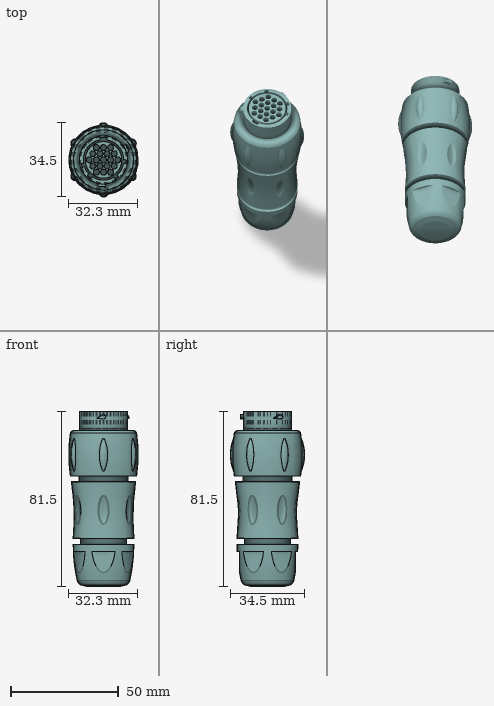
import math

import cadquery as cq

nut_corner_end_z = 0.75
nut_fillet_top_z = 2.7
flat_top_z = 16.25
nut_top_z = 19.6
sleeve_bottom_z = 22.4
sleeve_waist_z = 33.0
sleeve_band_bottom_z = 48.3
sleeve_top_z = 48.8
collar_bottom_z = 51.3
collar_shoulder_z = 71.4
collar_top_z = 72.55
total_height = 81.48

nut_bottom_radius = 7.5
nut_corner_radius = 10.65
nut_fillet_radius = 12.2
nut_radius = 14.15
nut_corner_bulge = 0.3
lower_neck_radius = 10.75
sleeve_bottom_radius = 14.15
sleeve_waist_radius = 13.72
sleeve_top_radius = 14.9
upper_neck_radius = 11.4
collar_end_radius = 15.4
collar_mid_radius = 16.15
collar_top_radius = 14.0
collar_shoulder_bulge = 0.2
plug_radius = 11.2

grip_count = 6
grip_angles = [90 + i * 360 / grip_count for i in range(grip_count)]

flat_distance = 13.0

rib_mid_z = 61.25
rib_axis_radius = 15.1
rib_crest_radius = 17.25
rib_half_length = 9.0

dimple_mid_z = 35.1
dimple_axis_radius = 16.45
dimple_floor_radius = 12.75
dimple_half_length = 11.2
dimple_edge_fillet = 0.55
rim_search_size = 3.0

groove_outer_radius = 9.4
groove_inner_radius = 8.5
groove_depth = 8.0
keyway_outer_radius = 10.45
keyways = [(90, 3.3), (-4.5, 1.7), (194.7, 1.75), (229.7, 2.0), (306.4, 2.0)]

contact_hole_diameter = 2.75
contact_hole_depth = 8.0
contact_pitch = 3.31
contact_rows = [3, 4, 5, 4, 3]

peg_angles = [-90, 30]
peg_z = 78.95
peg_round_radius = 1.03
peg_tip_reach = 3.1
peg_tip_drop = 0.8
peg_outer_radius = 12.45
peg_embed_depth = 1.0
peg_root_radius = plug_radius - peg_embed_depth
peg_bevel_width = 1.05
peg_bevel_height = 1.4


def tangent_arc_midpoint(start_radius, start_z, end_radius, end_z):
    """Midpoint of the arc that leaves the start point parallel to Z and ends at the end point."""
    drop = start_radius - end_radius
    run = start_z - end_z
    arc_radius = (drop**2 + run**2) / (2 * drop)
    half_angle = math.asin(run / arc_radius) / 2
    return (
        start_radius - arc_radius * (1 - math.cos(half_angle)),
        start_z - arc_radius * math.sin(half_angle),
    )


def turned_body():
    """Nut, sleeve, collar and plug as one revolved profile."""
    corner_mid = (
        (nut_corner_radius + nut_fillet_radius) / 2 + nut_corner_bulge / 2,
        (nut_corner_end_z + nut_fillet_top_z) / 2 - nut_corner_bulge / 2,
    )
    nut_side_mid = tangent_arc_midpoint(nut_radius, nut_top_z, nut_fillet_radius, nut_fillet_top_z)
    collar_mid_z = (collar_bottom_z + collar_shoulder_z) / 2
    shoulder_mid = (
        (collar_end_radius + collar_top_radius + collar_shoulder_bulge) / 2,
        (collar_shoulder_z + collar_top_z + collar_shoulder_bulge) / 2,
    )
    profile = (
        cq.Workplane("XZ")
        .moveTo(0, 0)
        .lineTo(nut_bottom_radius, 0)
        .lineTo(nut_corner_radius, nut_corner_end_z)
        .threePointArc(corner_mid, (nut_fillet_radius, nut_fillet_top_z))
        .threePointArc(nut_side_mid, (nut_radius, nut_top_z))
        .lineTo(lower_neck_radius, nut_top_z)
        .lineTo(lower_neck_radius, sleeve_bottom_z)
        .lineTo(sleeve_bottom_radius, sleeve_bottom_z)
        .threePointArc((sleeve_waist_radius, sleeve_waist_z), (sleeve_top_radius, sleeve_band_bottom_z))
        .lineTo(sleeve_top_radius, sleeve_top_z)
        .lineTo(upper_neck_radius, sleeve_top_z)
        .lineTo(upper_neck_radius, collar_bottom_z)
        .lineTo(collar_end_radius, collar_bottom_z)
        .threePointArc((collar_mid_radius, collar_mid_z), (collar_end_radius, collar_shoulder_z))
        .threePointArc(shoulder_mid, (collar_top_radius, collar_top_z))
        .lineTo(plug_radius, collar_top_z)
        .lineTo(plug_radius, total_height)
        .lineTo(0, total_height)
        .close()
    )
    return profile.revolve(360, (0, 0, 0), (0, 1, 0))


def spindle(axis_radius, mid_z, mid_radius, half_length, angle):
    """Pointed spindle parallel to Z, standing at the given angle around the connector."""
    shape = (
        cq.Workplane("XZ")
        .moveTo(0, -half_length)
        .threePointArc((mid_radius, 0), (0, half_length))
        .close()
        .revolve(360, (0, 0, 0), (0, 1, 0))
    )
    return shape.translate((axis_radius, 0, mid_z)).rotate((0, 0, 0), (0, 0, 1), angle)


def cut_dimples(body):
    """Scoop the finger dimples and round their rims."""
    mid_radius = dimple_axis_radius - dimple_floor_radius
    for angle in grip_angles:
        cutter = spindle(dimple_axis_radius, dimple_mid_z, mid_radius, dimple_half_length, angle)
        direction = math.radians(angle)
        rim_center = cq.Vector(
            sleeve_waist_radius * math.cos(direction),
            sleeve_waist_radius * math.sin(direction),
            dimple_mid_z,
        )
        reach = cq.Vector(1, 1, 1) * (rim_search_size / 2)
        rim_zone = cq.selectors.BoxSelector((rim_center - reach).toTuple(), (rim_center + reach).toTuple())
        body = body.cut(cutter).edges(rim_zone).fillet(dimple_edge_fillet)
    return body


def add_ribs(body):
    """Raised spindle-shaped grip ribs on the collar."""
    mid_radius = rib_crest_radius - rib_axis_radius
    for angle in grip_angles:
        body = body.union(spindle(rib_axis_radius, rib_mid_z, mid_radius, rib_half_length, angle))
    return body


def cut_flats(body):
    """Wrench flats, parallel to Z, from the cable end up to a ledge under the nut's rim."""
    for angle in grip_angles:
        cutter = cq.Workplane("XY").box(
            nut_radius, 2 * nut_radius, flat_top_z, centered=(False, True, False)
        )
        cutter = cutter.translate((flat_distance, 0, 0))
        body = body.cut(cutter.rotate((0, 0, 0), (0, 0, 1), angle))
    return body


def cut_mating_face(body):
    """Annular groove with keyways around the contact insert, and the contact holes."""
    face = cq.Workplane("XY").workplane(offset=total_height)
    insert = face.circle(groove_inner_radius).extrude(-groove_depth)
    recess = face.circle(groove_outer_radius).extrude(-groove_depth)
    for angle, width in keyways:
        keyway = face.center(keyway_outer_radius / 2, 0).rect(keyway_outer_radius, width)
        recess = recess.union(keyway.extrude(-groove_depth).rotate((0, 0, 0), (0, 0, 1), angle))
    body = body.cut(recess.cut(insert))

    row_pitch = contact_pitch * math.sqrt(3) / 2
    centers = []
    for row, count in enumerate(contact_rows):
        y = (row - (len(contact_rows) - 1) / 2) * row_pitch
        for column in range(count):
            centers.append(((column - (count - 1) / 2) * contact_pitch, y))
    holes = face.pushPoints(centers).circle(contact_hole_diameter / 2).extrude(-contact_hole_depth)
    return body.cut(holes)


def bayonet_peg(angle):
    """Teardrop peg with a round head and a bevelled pointed tail."""
    tip = (-peg_tip_reach, -peg_tip_drop)
    tip_distance = math.hypot(peg_tip_reach, peg_tip_drop)
    tip_direction = math.atan2(-peg_tip_drop, -peg_tip_reach)
    tangent_spread = math.acos(peg_round_radius / tip_distance)

    def head_point(direction):
        return (peg_round_radius * math.cos(direction), peg_round_radius * math.sin(direction))

    upper = head_point(tip_direction - tangent_spread)
    lower = head_point(tip_direction + tangent_spread)
    front = head_point(tip_direction + math.pi)
    outline = cq.Workplane("XZ").moveTo(*tip).lineTo(*upper).threePointArc(front, lower).close()
    peg = outline.extrude(peg_outer_radius)
    plan = (
        cq.Workplane("XY")
        .workplane(offset=-2 * peg_round_radius)
        .moveTo(-peg_tip_reach, -peg_root_radius)
        .lineTo(-peg_tip_reach, peg_bevel_height - peg_outer_radius)
        .lineTo(peg_bevel_width - peg_tip_reach, -peg_outer_radius)
        .lineTo(peg_round_radius, -peg_outer_radius)
        .lineTo(peg_round_radius, -peg_root_radius)
        .close()
        .extrude(4 * peg_round_radius)
    )
    peg = peg.intersect(plan).translate((0, 0, peg_z))
    return peg.rotate((0, 0, 0), (0, 0, 1), angle + 90)


def add_pegs(body):
    """Bayonet pegs on the outside of the plug."""
    for angle in peg_angles:
        body = body.union(bayonet_peg(angle))
    return body


body = turned_body()
body = cut_dimples(body)
body = add_ribs(body)
body = cut_flats(body)
body = add_pegs(body)
result = cut_mating_face(body)